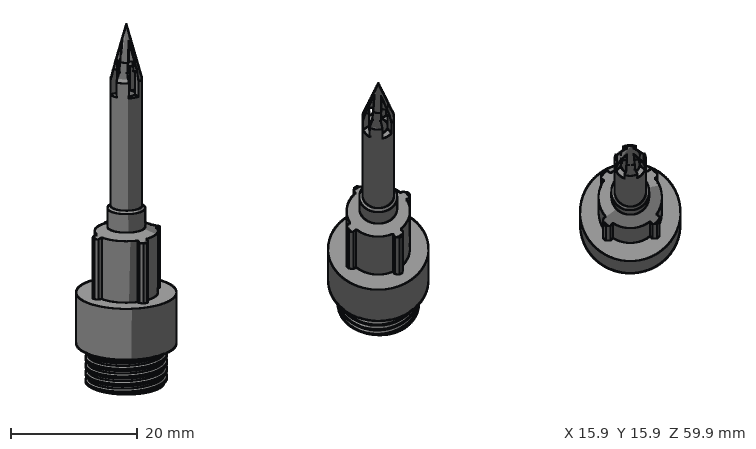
import cadquery as cq
import math

TOTAL_HEIGHT = 59.85
FLANGE_BOTTOM = 6.5
FLANGE_TOP = 15.0
HUB_EDGE = 25.0
HUB_TOP = 26.0
COLLAR_TOP = 29.5
POINT_HEIGHT = 9.1
POINT_BASE = TOTAL_HEIGHT - POINT_HEIGHT

FLANGE_DIAMETER = 15.88
THREAD_ROOT_DIAMETER = 12.0
HUB_DIAMETER = 10.0
RIB_TIP_DIAMETER = 12.0
COLLAR_DIAMETER = 6.0
NEEDLE_DIAMETER = 5.0
BORE_DIAMETER = 3.0

SHOULDER_ANGLE = 20.0
RIB_COUNT = 4
RIB_WIDTH = 1.6
RIB_CHAMFER = 0.5
COLLAR_CHAMFER_HEIGHT = 0.4

THREAD_PITCH = 1.27
THREAD_DEPTH = 0.45
THREAD_BASE_WIDTH = 1.0
THREAD_CREST_WIDTH = 0.2
THREAD_PHASE = 0.67
THREAD_OVERLAP = 0.1
THREAD_RUN_OUT_TURNS = 2

WINDOW_COUNT = 4
WINDOW_WIDTH = 1.76
WINDOW_BOTTOM = 48.25
WINDOW_SHOULDER = 52.3
GROOVE_APEX = 57.2
GROOVE_LOWER_DISTANCE = 1.0
GROOVE_UPPER_DISTANCE = NEEDLE_DIAMETER / 2 * (TOTAL_HEIGHT - GROOVE_APEX) / POINT_HEIGHT
BORE_TOP = 53.85


def make_turned_body():
    """Flange, collar, needle and sharp point as one turned body."""
    flange_radius = FLANGE_DIAMETER / 2
    collar_radius = COLLAR_DIAMETER / 2
    needle_radius = NEEDLE_DIAMETER / 2
    return (
        cq.Workplane("XZ")
        .moveTo(0, FLANGE_BOTTOM)
        .lineTo(flange_radius, FLANGE_BOTTOM)
        .lineTo(flange_radius, FLANGE_TOP)
        .lineTo(collar_radius, FLANGE_TOP)
        .lineTo(collar_radius, COLLAR_TOP - COLLAR_CHAMFER_HEIGHT)
        .lineTo(needle_radius, COLLAR_TOP)
        .lineTo(needle_radius, POINT_BASE)
        .lineTo(0, TOTAL_HEIGHT)
        .close()
        .revolve(360, (0, 0, 0), (0, 1, 0))
    )


def make_ribbed_hub():
    """Round hub with chamfered ribs, topped by a conical shoulder."""
    height = HUB_TOP - FLANGE_TOP
    tip_radius = RIB_TIP_DIAMETER / 2
    hub = cq.Workplane("XY").workplane(offset=FLANGE_TOP).circle(HUB_DIAMETER / 2).extrude(height)
    rib = (
        cq.Workplane("XY")
        .workplane(offset=FLANGE_TOP)
        .center(tip_radius / 2, 0)
        .rect(tip_radius, RIB_WIDTH)
        .extrude(height)
        .edges("|Z and >X")
        .chamfer(RIB_CHAMFER)
    )
    for index in range(RIB_COUNT):
        hub = hub.union(rib.rotate((0, 0, 0), (0, 0, 1), index * 360 / RIB_COUNT))

    collar_radius = COLLAR_DIAMETER / 2
    shoulder_run = (HUB_TOP - HUB_EDGE) / math.tan(math.radians(SHOULDER_ANGLE))
    envelope = (
        cq.Workplane("XZ")
        .moveTo(0, FLANGE_TOP)
        .lineTo(tip_radius, FLANGE_TOP)
        .lineTo(tip_radius, HUB_EDGE)
        .lineTo(collar_radius + shoulder_run, HUB_EDGE)
        .lineTo(collar_radius, HUB_TOP)
        .lineTo(0, HUB_TOP)
        .close()
        .revolve(360, (0, 0, 0), (0, 1, 0))
    )
    return hub.intersect(envelope)


def make_threaded_end():
    """Cylinder with a right-hand helical ridge, trimmed flush at both ends."""
    inner_radius = THREAD_ROOT_DIAMETER / 2 - THREAD_OVERLAP
    crest_radius = THREAD_ROOT_DIAMETER / 2 + THREAD_DEPTH
    run_out = THREAD_RUN_OUT_TURNS * THREAD_PITCH
    ridge_height = FLANGE_BOTTOM + 2 * run_out
    helix = cq.Wire.makeHelix(THREAD_PITCH, ridge_height, inner_radius)
    ridge = (
        cq.Workplane("XZ")
        .moveTo(inner_radius, -THREAD_BASE_WIDTH / 2)
        .lineTo(crest_radius, -THREAD_CREST_WIDTH / 2)
        .lineTo(crest_radius, THREAD_CREST_WIDTH / 2)
        .lineTo(inner_radius, THREAD_BASE_WIDTH / 2)
        .close()
        .sweep(cq.Workplane("XY").add(helix), isFrenet=True)
        .translate((0, 0, THREAD_PHASE - run_out))
    )
    core = (
        cq.Workplane("XY", origin=(0, 0, -2 * run_out))
        .circle(THREAD_ROOT_DIAMETER / 2)
        .extrude(FLANGE_BOTTOM + 4 * run_out)
    )
    threaded_length = cq.Workplane("XY").circle(FLANGE_DIAMETER / 2).extrude(FLANGE_BOTTOM)
    return core.union(ridge).intersect(threaded_length)


def groove_section(height, bottom_distance):
    """Triangular section opening at 90 degrees toward -Y, at the given height."""
    reach = NEEDLE_DIAMETER / 2
    return (
        cq.Workplane("XY", origin=(0, 0, height))
        .moveTo(0, -bottom_distance)
        .lineTo(reach, -bottom_distance - reach)
        .lineTo(-reach, -bottom_distance - reach)
        .close()
        .wire()
        .val()
    )


def window_block(bottom, top):
    """Block as wide as a window, reaching from the axis out past the -Y side."""
    return (
        cq.Workplane("XY", origin=(0, -NEEDLE_DIAMETER / 2, bottom))
        .rect(WINDOW_WIDTH, NEEDLE_DIAMETER)
        .extrude(top - bottom)
    )


def make_window_cutter():
    """Square window on the -Y side, running up into a V-groove that fades out on the point."""
    window = window_block(WINDOW_BOTTOM, WINDOW_SHOULDER)
    groove = cq.Solid.makeLoft(
        [
            groove_section(WINDOW_SHOULDER, GROOVE_LOWER_DISTANCE),
            groove_section(GROOVE_APEX, GROOVE_UPPER_DISTANCE),
        ],
        True,
    )
    groove_limits = window_block(WINDOW_SHOULDER, GROOVE_APEX)
    return window.union(groove_limits.intersect(cq.Workplane("XY").add(groove)))


def cut_bore_and_windows(body):
    """Bore the body from the threaded end and open the tip windows."""
    bore = cq.Workplane("XY").circle(BORE_DIAMETER / 2).extrude(BORE_TOP)
    body = body.cut(bore)
    window = make_window_cutter()
    for index in range(WINDOW_COUNT):
        body = body.cut(window.rotate((0, 0, 0), (0, 0, 1), index * 360 / WINDOW_COUNT))
    return body


solid_body = make_turned_body().union(make_ribbed_hub()).union(make_threaded_end())
result = cut_bore_and_windows(solid_body)